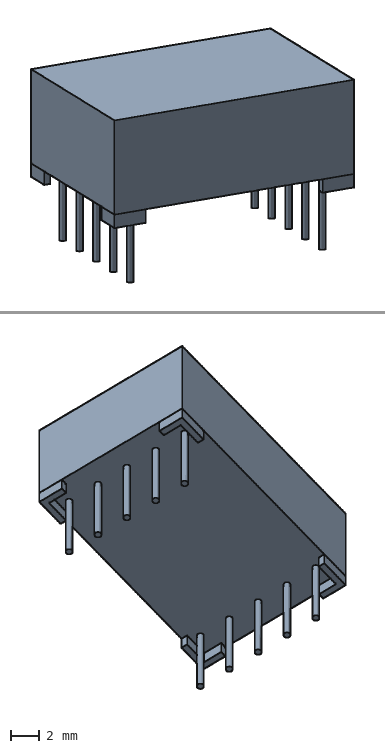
import cadquery as cq

width = 12.6
length = 19.0
total_height = 12.62
housing_height = 7.0
pin_length = total_height - housing_height

foot_height = 1.0
foot_width = 2.0
foot_length = 2.49
foot_wall = 0.5

pin_diameter = 0.5
pin_pitch = 2.55
pins_per_row = 5
row_spacing = 15.24


def make_housing():
    """Block standing on Z = 0, with both pin rows fixed to its underside."""
    block = cq.Workplane("XY").box(width, length, housing_height, centered=(True, True, False))
    pins = (
        cq.Workplane("XY")
        .rarray(pin_pitch, row_spacing, pins_per_row, 2)
        .circle(pin_diameter / 2)
        .extrude(-pin_length)
    )
    return block.union(pins)


def make_foot(x_side, y_side):
    """L-shaped foot hanging under the corner on the given sides (+1 or -1 each)."""
    outer_x = x_side * width / 2
    outer_y = y_side * length / 2
    end_x = outer_x - x_side * foot_width
    end_y = outer_y - y_side * foot_length
    inner_x = outer_x - x_side * foot_wall
    inner_y = outer_y - y_side * foot_wall
    outline = [
        (outer_x, outer_y),
        (end_x, outer_y),
        (end_x, inner_y),
        (inner_x, inner_y),
        (inner_x, end_y),
        (outer_x, end_y),
    ]
    return cq.Workplane("XY").polyline(outline).close().extrude(-foot_height)


housing = make_housing()
feet = [make_foot(x_side, y_side) for x_side in (-1, 1) for y_side in (-1, 1)]

result = cq.Compound.makeCompound([housing.val(), *[foot.val() for foot in feet]])